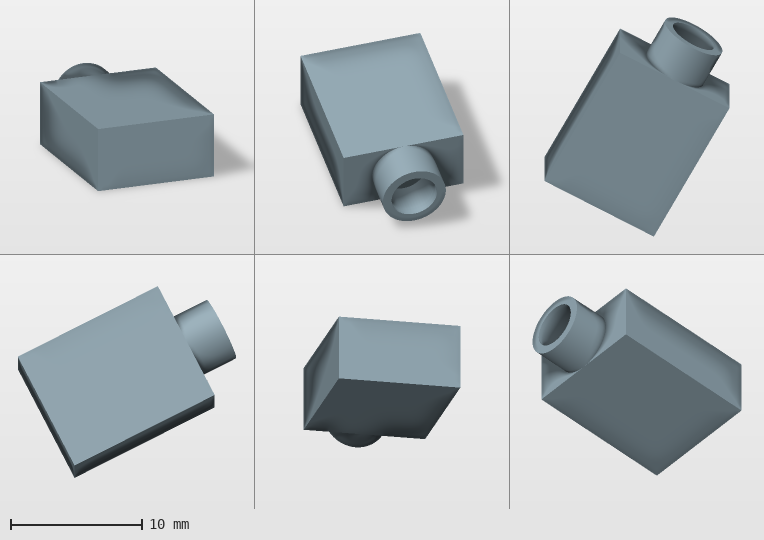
import cadquery as cq

total_length = 15.0
body_width = 9.5
body_height = 5.0
neck_length = 3.0
bore_diameter = 3.6

neck_diameter = body_height
body_length = total_length - neck_length

body = cq.Workplane("XY").box(body_length, body_width, body_height, centered=(False, True, True))

neck = (
    cq.Workplane("YZ")
    .circle(neck_diameter / 2)
    .circle(bore_diameter / 2)
    .extrude(-neck_length)
)

result = body.union(neck)